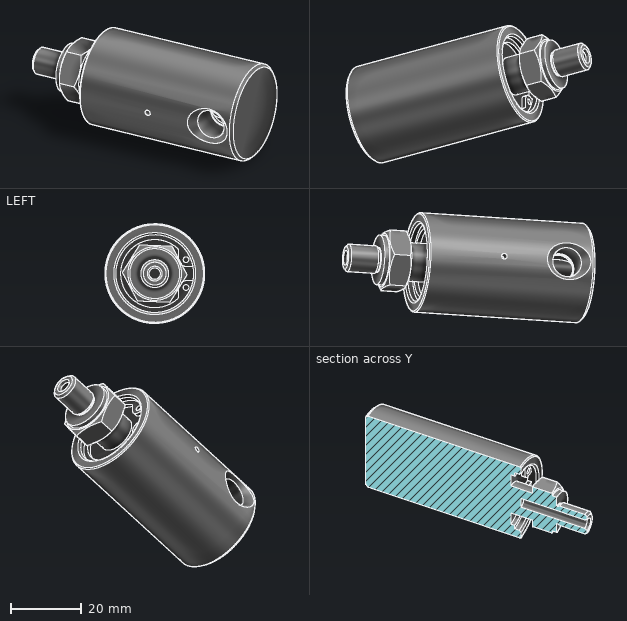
import cadquery as cq
import math

total_length = 69.9
thread_end = 8.7
flange_start = 9.6
nut_start = 11.0
nut_end = 17.3
body_start = 20.8

thread_diameter = 7.9
thread_chamfer = 0.7
relief_diameter = 7.1
relief_angle = 30.0
bore_diameter = 3.2
bore_mouth_diameter = 4.2
bore_mouth_depth = 0.85
bore_depth = body_start

flange_diameter = 14.2
neck_diameter = 11.0
nut_across_flats = 15.9
nut_turn = 2.2
nut_chamfer_angle = 30.0
nut_front_face_diameter = 15.2
nut_back_face_diameter = 15.65

body_diameter = 28.4
body_front_chamfer = 0.35
body_back_chamfer = 0.85

recess_diameter = 22.1
recess_mouth_diameter = 23.3

ring_inner_diameter = 19.35
ring_front_depth = 2.0
ring_thickness = 1.2
recess_depth = ring_front_depth + ring_thickness
ring_gap = 4.0
ear_inner_offset = 6.7
ear_corner_radius = 2.4
ear_hole_offset = 8.9
ear_hole_spacing = 7.9
ear_root_radius = 0.85
pin_hole_diameter = 1.6

port_x = 62.0
port_diameter = 8.0
port_mouth_diameter = 8.45
port_sink_start = 12.0
port_step = 4.2
port_drill_start = 3.2
port_drill_angle = 118.0
port_core_diameter = 7.7
vent_x = 42.85
vent_depth = 3.15


def cylinder_x(diameter, start, end):
    """Solid cylinder about the X axis."""
    return cq.Workplane("YZ", origin=(start, 0, 0)).circle(diameter / 2).extrude(end - start)


def turned(points):
    """Solid turned about the X axis from (x, radius) points."""
    outline = [(points[0][0], 0)] + points + [(points[-1][0], 0)]
    return cq.Workplane("XY").polyline(outline).close().revolve(360, (0, 0, 0), (1, 0, 0))


def bored_from_front(points):
    """Solid turned about the port axis, from (distance, radius) points ending in a tip."""
    outline = [(port_x, -points[0][0])]
    outline += [(port_x + radius, -distance) for distance, radius in points]
    return (
        cq.Workplane("XY").polyline(outline).close()
        .revolve(360, (port_x, 0, 0), (port_x, 1, 0))
    )


def make_shaft():
    thread_radius = thread_diameter / 2
    relief_radius = relief_diameter / 2
    relief_start = thread_end + (thread_radius - relief_radius) / math.tan(math.radians(relief_angle))
    shaft = turned([
        (0, thread_radius - thread_chamfer),
        (thread_chamfer, thread_radius),
        (thread_end, thread_radius),
        (relief_start, relief_radius),
        (flange_start, relief_radius),
        (flange_start, flange_diameter / 2),
        (nut_start, flange_diameter / 2),
        (nut_start, neck_diameter / 2),
        (body_start + recess_depth, neck_diameter / 2),
    ])
    bore = turned([
        (0, bore_mouth_diameter / 2),
        (bore_mouth_depth, bore_diameter / 2),
        (bore_depth, bore_diameter / 2),
    ])
    return shaft.cut(bore)


def make_nut():
    corner_diameter = nut_across_flats / math.cos(math.radians(30))
    corner_radius = corner_diameter / 2
    slope = math.tan(math.radians(nut_chamfer_angle))
    front_chamfer = (corner_radius - nut_front_face_diameter / 2) * slope
    back_chamfer = (corner_radius - nut_back_face_diameter / 2) * slope
    hexagon = (
        cq.Workplane("YZ", origin=(nut_start, 0, 0)).polygon(6, corner_diameter)
        .extrude(nut_end - nut_start)
        .rotate((0, 0, 0), (1, 0, 0), nut_turn)
    )
    envelope = turned([
        (nut_start, nut_front_face_diameter / 2),
        (nut_start + front_chamfer, corner_radius),
        (nut_end - back_chamfer, corner_radius),
        (nut_end, nut_back_face_diameter / 2),
    ])
    bore = cylinder_x(neck_diameter, nut_start, nut_end)
    return hexagon.intersect(envelope).cut(bore)


def make_body():
    radius = body_diameter / 2
    body = turned([
        (body_start, radius - body_front_chamfer),
        (body_start + body_front_chamfer, radius),
        (total_length - body_back_chamfer, radius),
        (total_length, radius - body_back_chamfer),
    ])
    mouth_depth = (recess_mouth_diameter - recess_diameter) / 2
    recess = turned([
        (body_start, recess_mouth_diameter / 2),
        (body_start + mouth_depth, recess_diameter / 2),
        (body_start + recess_depth, recess_diameter / 2),
    ])
    return body.cut(recess)


def make_retaining_ring():
    front = body_start + ring_front_depth
    back = front + ring_thickness
    outer_radius = recess_diameter / 2
    ear_block = (
        cq.Workplane("YZ", origin=(front, 0, 0))
        .center(-(ear_inner_offset + outer_radius) / 2, 0)
        .rect(outer_radius - ear_inner_offset, recess_diameter)
        .extrude(ring_thickness)
    )
    disc = cylinder_x(recess_diameter, front, back)
    ring = disc.cut(cylinder_x(ring_inner_diameter, front, back)).union(ear_block.intersect(disc))
    root_height = math.sqrt((ring_inner_diameter / 2) ** 2 - ear_inner_offset ** 2)
    for side in (-1, 1):
        root = cq.selectors.NearestToPointSelector(
            ((front + back) / 2, -ear_inner_offset, side * root_height)
        )
        ring = ring.edges("|X").edges(root).fillet(ear_root_radius)
    gap = (
        cq.Workplane("YZ", origin=(front, 0, 0)).center(-outer_radius, 0)
        .rect(recess_diameter, ring_gap).extrude(ring_thickness)
    )
    ring = ring.cut(gap)
    for side in (-1, 1):
        corner = cq.selectors.NearestToPointSelector(
            ((front + back) / 2, -ear_inner_offset, side * ring_gap / 2)
        )
        ring = ring.edges("|X").edges(corner).fillet(ear_corner_radius)
    ear_holes = (
        cq.Workplane("YZ", origin=(front, 0, 0))
        .pushPoints([(-ear_hole_offset, side * ear_hole_spacing / 2) for side in (-1, 1)])
        .circle(pin_hole_diameter / 2).extrude(ring_thickness)
    )
    return ring.cut(ear_holes)


def make_port():
    radius = port_diameter / 2
    mouth_radius = port_mouth_diameter / 2
    outside = body_diameter / 2 + 0.7
    point_height = radius / math.tan(math.radians(port_drill_angle / 2))
    port = bored_from_front([
        (outside, mouth_radius + outside - port_sink_start),
        (port_sink_start, mouth_radius),
        (port_step, mouth_radius),
        (port_step, radius),
        (port_drill_start, radius),
        (port_drill_start - point_height, 0),
    ])
    core = cylinder_x(port_core_diameter, port_x - port_diameter, total_length)
    return port.cut(core)


def make_vent():
    outside = body_diameter / 2
    return (
        cq.Workplane("XZ", origin=(vent_x, -outside + vent_depth, 0))
        .circle(pin_hole_diameter / 2).extrude(vent_depth)
    )


result = (
    make_body()
    .union(make_retaining_ring())
    .union(make_shaft())
    .union(make_nut())
    .cut(make_port())
    .cut(make_vent())
)